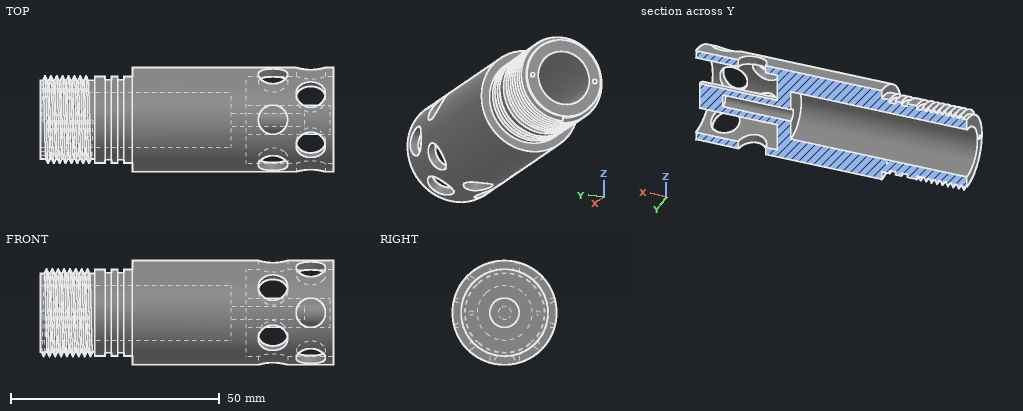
import cadquery as cq
LENGTH = 70.2
BODY_DIAMETER = 25.0
NECK_DIAMETER = 20.8
SHOULDER_X = 22.05

THREAD_ROOT_DIAMETER = 18.9
THREAD_CREST_DIAMETER = 21.0
THREAD_LENGTH = 13.0
THREAD_PITCH = 1.4
THREAD_START_X = 0.8
THREAD_TURNS = 8
THREAD_BASE_WIDTH = 1.1
THREAD_ROOT_OVERLAP = 0.15

GROOVE_DIAMETER = 19.2
GROOVE_WIDTH = 1.5
GROOVE_STARTS = (15.5, 18.5)

INLET_DIAMETER = 13.1
INLET_DEPTH = 45.6
CENTER_HOLE_DIAMETER = 3.1
CENTER_HOLE_DEPTH = 17.55

SPANNER_HOLE_DIAMETER = 1.0
SPANNER_HOLE_DEPTH = 2.1
SPANNER_HOLE_RADIUS = 8.0

CHAMBER_DIAMETER = 20.8
POST_DIAMETER = 7.0
CHAMBER_START_X = 49.15
POST_END_X = 69.2

PORT_DIAMETER = 7.0
PORTS_PER_RING = 6
FIRST_RING_X = 55.7
SECOND_RING_X = 64.7
PORT_SPACING = 360.0 / PORTS_PER_RING


def cylinder(diameter, start_x, end_x):
    """Solid cylinder on the X axis."""
    return cq.Workplane("YZ", origin=(start_x, 0, 0)).circle(diameter / 2).extrude(end_x - start_x)


def make_body():
    thread_core = cylinder(THREAD_ROOT_DIAMETER, 0, THREAD_LENGTH)
    neck = cylinder(NECK_DIAMETER, THREAD_LENGTH, SHOULDER_X)
    sleeve = cylinder(BODY_DIAMETER, SHOULDER_X, LENGTH)
    return thread_core.union(neck).union(sleeve)


def make_thread():
    """Right-hand V ridge, swept along a helix around the core."""
    base_radius = THREAD_ROOT_DIAMETER / 2 - THREAD_ROOT_OVERLAP
    crest_radius = THREAD_CREST_DIAMETER / 2
    helix = cq.Wire.makeHelix(THREAD_PITCH, THREAD_PITCH * THREAD_TURNS, base_radius)
    half_width = THREAD_BASE_WIDTH / 2
    ridge = (
        cq.Workplane("XZ")
        .polyline([(base_radius, -half_width), (crest_radius, 0), (base_radius, half_width)])
        .close()
        .sweep(cq.Workplane(helix), isFrenet=True)
    )
    return ridge.rotate((0, 0, 0), (0, 1, 0), 90).translate((THREAD_START_X, 0, 0))


def make_grooves():
    grooves = cq.Workplane()
    for start_x in GROOVE_STARTS:
        end_x = start_x + GROOVE_WIDTH
        ring = cylinder(BODY_DIAMETER, start_x, end_x).cut(cylinder(GROOVE_DIAMETER, start_x, end_x))
        grooves = grooves.add(ring)
    return grooves.combine()


def make_inlet():
    bore = cylinder(INLET_DIAMETER, 0, INLET_DEPTH)
    return bore.union(cylinder(CENTER_HOLE_DIAMETER, 0, INLET_DEPTH + CENTER_HOLE_DEPTH))


def make_spanner_holes():
    return (
        cq.Workplane("YZ")
        .pushPoints([(-SPANNER_HOLE_RADIUS, 0), (SPANNER_HOLE_RADIUS, 0)])
        .circle(SPANNER_HOLE_DIAMETER / 2)
        .extrude(SPANNER_HOLE_DEPTH)
    )


def make_chamber():
    outer = cylinder(CHAMBER_DIAMETER, CHAMBER_START_X, LENGTH)
    return outer.cut(cylinder(POST_DIAMETER, CHAMBER_START_X, POST_END_X))


def make_ports(ring_x, first_angle):
    """Radial ports that pass through the sleeve wall only; angles are measured from +Y."""
    inner_radius = POST_DIAMETER / 2 + PORT_DIAMETER / 2
    port = (
        cq.Workplane("XZ", origin=(ring_x, inner_radius, 0))
        .circle(PORT_DIAMETER / 2)
        .extrude(-BODY_DIAMETER / 2)
    )
    ports = cq.Workplane()
    for index in range(PORTS_PER_RING):
        angle = first_angle + index * PORT_SPACING
        ports = ports.add(port.rotate((0, 0, 0), (1, 0, 0), angle))
    return ports.combine()


result = (
    make_body()
    .union(make_thread())
    .cut(make_grooves())
    .cut(make_inlet())
    .cut(make_spanner_holes())
    .cut(make_chamber())
    .cut(make_ports(FIRST_RING_X, PORT_SPACING / 2))
    .cut(make_ports(SECOND_RING_X, 0))
)